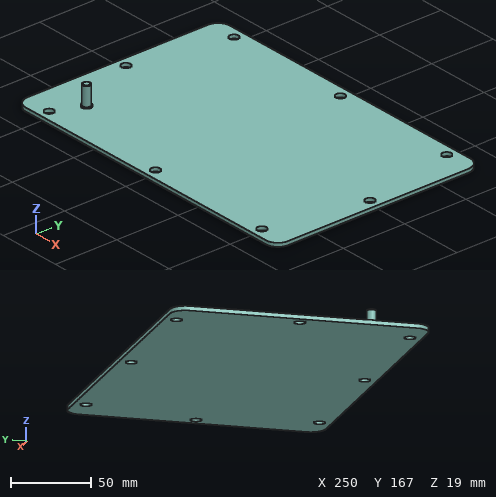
import cadquery as cq

plate_length = 250.0
plate_width = 167.0
plate_thickness = 3.0
corner_radius = 10.0

hole_diameter = 7.0
hole_edge_distance = 8.0
corner_hole_x = 102.0
rim_hole_x = plate_length / 2 - hole_edge_distance
rim_hole_y = plate_width / 2 - hole_edge_distance

overall_height = 19.0
stud_x = -92.0
stud_y = -53.5
stud_diameter = 6.0
stud_tip_chamfer = 0.55
flange_diameter = 7.5
flange_thickness = 0.8


def make_plate():
    """Rectangular plate with rounded corners."""
    plate = cq.Workplane("XY").box(
        plate_length, plate_width, plate_thickness, centered=(True, True, False)
    )
    return plate.edges("|Z").fillet(corner_radius)


def drill_rim_holes(plate):
    """Three through holes along each long side and one at the middle of each short side."""
    positions = [(-rim_hole_x, 0), (rim_hole_x, 0)]
    for y in (-rim_hole_y, rim_hole_y):
        for x in (-corner_hole_x, 0, corner_hole_x):
            positions.append((x, y))
    return plate.faces(">Z").workplane(origin=(0, 0, 0)).pushPoints(positions).hole(hole_diameter)


def make_stud():
    """Round stud with a chamfered tip and a thin flange at its foot, rooted in the plate."""
    shank = (
        cq.Workplane("XY")
        .center(stud_x, stud_y)
        .circle(stud_diameter / 2)
        .extrude(overall_height)
        .faces(">Z")
        .chamfer(stud_tip_chamfer)
    )
    flange = (
        cq.Workplane("XY")
        .center(stud_x, stud_y)
        .circle(flange_diameter / 2)
        .extrude(plate_thickness + flange_thickness)
    )
    return shank.union(flange)


result = drill_rim_holes(make_plate()).union(make_stud())